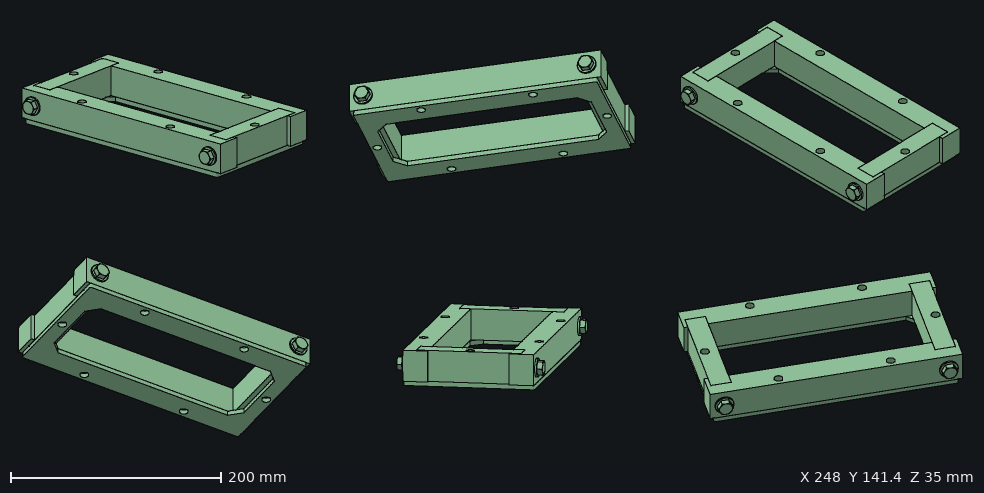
import cadquery as cq
import math

frame_length = 248.0
frame_width = 127.0
bar_height = 30.0
plate_thickness = 5.0

side_bar_width = 24.0
cross_bar_width = 20.0
cross_bar_inset = 4.0
cross_bar_end_inset = 13.0

plate_corner_radius = 2.0
plate_end_web = 15.0
opening_chamfer = 11.2

mount_hole_diameter = 8.2
side_hole_inset = 7.5
side_hole_spacing = 110.0
cross_hole_inset = 7.0

bolt_inset = 14.0
flange_diameter = 18.0
flange_thickness = 1.7
head_projection = 7.2
hex_across_flats = 13.0
head_chamfer_angle = 30.0

frame_height = plate_thickness + bar_height
plate_length = frame_length - 2 * cross_bar_inset
cross_bar_length = frame_width - 2 * cross_bar_end_inset
opening_length = plate_length - 2 * plate_end_web
opening_width = frame_width - 2 * side_bar_width
side_bar_y = (frame_width - side_bar_width) / 2
cross_bar_x = (plate_length - cross_bar_width) / 2
side_hole_y = frame_width / 2 - side_hole_inset
cross_hole_x = plate_length / 2 - cross_hole_inset
bolt_x = frame_length / 2 - bolt_inset
bolt_z = plate_thickness + bar_height / 2
hex_across_corners = hex_across_flats / math.cos(math.radians(30))
hex_height = head_projection - flange_thickness

both_sides = (-1, 1)


def block(length, width, height, x, y, z_bottom):
    """Rectangular block centred on (x, y) and standing on z_bottom."""
    return (
        cq.Workplane("XY")
        .box(length, width, height, centered=(True, True, False))
        .translate((x, y, z_bottom))
    )


def make_mount_holes():
    """Vertical cutters for the six mounting holes through bars and plate."""
    hole_points = []
    for side in both_sides:
        hole_points.append((side * cross_hole_x, 0))
        for end in both_sides:
            hole_points.append((end * side_hole_spacing / 2, side * side_hole_y))
    return cq.Workplane("XY").pushPoints(hole_points).circle(mount_hole_diameter / 2).extrude(frame_height)


def cross_bar_block(side):
    """Cross bar envelope, also the shape of its pockets in the side bars."""
    return block(cross_bar_width, cross_bar_length, bar_height, side * cross_bar_x, 0, plate_thickness)


def make_cross_bar(side):
    return cross_bar_block(side).cut(make_mount_holes())


def make_side_bar(side):
    """Long bar with a pocket near each end that takes a cross bar."""
    bar = block(frame_length, side_bar_width, bar_height, 0, side * side_bar_y, plate_thickness)
    for end in both_sides:
        bar = bar.cut(cross_bar_block(end))
    return bar.cut(make_mount_holes())


def make_base_plate():
    """Ring-shaped plate under the bars; its opening has chamfered corners."""
    plate = block(plate_length, frame_width, plate_thickness, 0, 0, 0)
    plate = plate.edges("|Z").fillet(plate_corner_radius)
    opening = block(opening_length, opening_width, plate_thickness, 0, 0, 0)
    opening = opening.edges("|Z").chamfer(opening_chamfer)
    return plate.cut(opening).cut(make_mount_holes())


def make_bolt_head():
    """Flanged hexagon head seated on z = 0, with two flats facing +Y and -Y."""
    flange = cq.Workplane("XY").circle(flange_diameter / 2).extrude(flange_thickness)
    hexagon = (
        cq.Workplane("XY")
        .workplane(offset=flange_thickness)
        .polygon(6, hex_across_corners)
        .extrude(hex_height)
    )
    top_radius = hex_across_flats / 2
    base_radius = top_radius + head_projection / math.tan(math.radians(head_chamfer_angle))
    cone = (
        cq.Workplane("XZ")
        .polyline([(0, 0), (base_radius, 0), (top_radius, head_projection), (0, head_projection)])
        .close()
        .revolve(360, (0, 0), (0, 1))
    )
    return flange.union(hexagon.intersect(cone))


def make_bolt(end, side):
    """Bolt head seated on the outer face of a side bar, pointing outward."""
    tilt_outward = -side * 90
    return (
        make_bolt_head()
        .rotate((0, 0, 0), (1, 0, 0), tilt_outward)
        .translate((end * bolt_x, side * frame_width / 2, bolt_z))
    )


base_plate = make_base_plate()
side_bars = [make_side_bar(side) for side in both_sides]
cross_bars = [make_cross_bar(side) for side in both_sides]
bolts = [make_bolt(end, side) for end in both_sides for side in both_sides]

bodies = [base_plate, *side_bars, *cross_bars, *bolts]
result = cq.Compound.makeCompound([body.solids().val() for body in bodies])